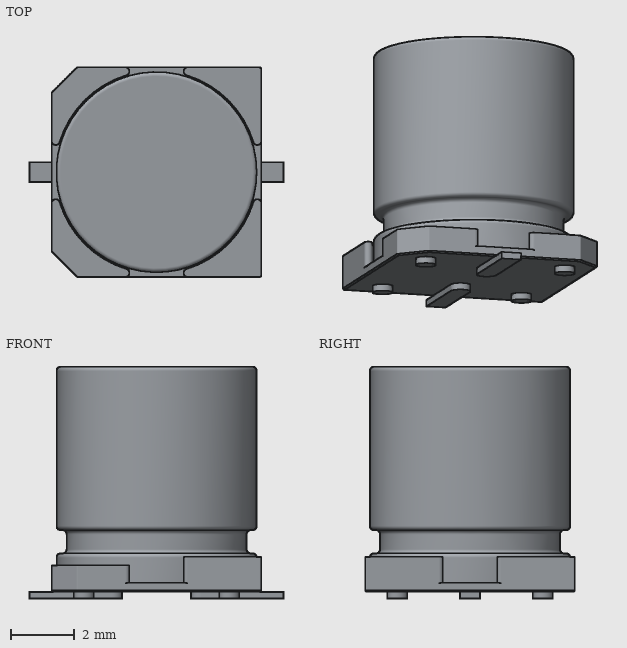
import cadquery as cq
import math

overall_length = 8.0
overall_height = 7.3
base_width = 6.6

can_diameter = 6.3
neck_diameter = 5.67
bead_radius = 0.13
groove_bottom_z = 1.42
groove_top_z = 2.15

base_bottom_z = 0.21
floor_z = 0.5
low_corner_z = 1.05
high_corner_z = 1.31
corner_chamfer = 0.8
seat_clearance = 0.04
nose_radius = 0.13
edge_chamfer = 0.05
edge_rounding = 0.03
corner_rounding = 0.06

terminal_width = 0.63
terminal_inner_x = 1.08
foot_diameter = 0.63
foot_offset = 2.29

can_radius = can_diameter / 2
neck_radius = neck_diameter / 2
half_base = base_width / 2
seat_radius = can_radius + seat_clearance


def make_base_plate():
    """Square plate under the can, with the two -X corners cut off."""
    plate = (
        cq.Workplane("XY", origin=(0, 0, base_bottom_z))
        .rect(base_width, base_width)
        .extrude(floor_z - base_bottom_z)
        .edges("|Z and <X")
        .chamfer(corner_chamfer)
        .edges("|Z")
        .fillet(corner_rounding)
    )
    return plate.faces("<Z").chamfer(edge_chamfer).faces(">Z").edges().fillet(edge_rounding)


def make_corner_block(x_sign, y_sign, top_z):
    """Corner block around the can; each end is a nose tangent to the outer side and to the can seat."""
    def place(x, y):
        return (x_sign * x, y_sign * y)

    centre_out = half_base - nose_radius
    centre_along = math.sqrt((seat_radius + nose_radius) ** 2 - centre_out ** 2)
    seat_ratio = seat_radius / (seat_radius + nose_radius)
    seat_out = centre_out * seat_ratio
    seat_along = centre_along * seat_ratio
    tip_along = centre_along - nose_radius
    seat_middle = seat_radius / math.sqrt(2)

    root_z = base_bottom_z + edge_chamfer
    outline = cq.Workplane("XY", origin=(0, 0, root_z)).moveTo(*place(centre_along, half_base))
    if x_sign < 0:
        outline = outline.lineTo(*place(half_base - corner_chamfer, half_base))
        outline = outline.lineTo(*place(half_base, half_base - corner_chamfer))
    else:
        outline = outline.lineTo(*place(half_base, half_base))
    block = (
        outline.lineTo(*place(half_base, centre_along))
        .threePointArc(place(centre_out, tip_along), place(seat_out, seat_along))
        .threePointArc(place(seat_middle, seat_middle), place(seat_along, seat_out))
        .threePointArc(place(tip_along, centre_out), place(centre_along, half_base))
        .close()
        .extrude(top_z - root_z)
    )
    corner_zone = cq.selectors.BoxSelector(
        place(seat_middle, seat_middle) + (0,),
        place(base_width, base_width) + (overall_height,),
    )
    block = block.edges("|Z").edges(corner_zone).fillet(corner_rounding)
    return block.faces(">Z").edges().fillet(edge_rounding)


def make_can():
    """Revolved can with rounded rims and a rounded groove above the base."""
    profile = (
        cq.Workplane("XZ")
        .moveTo(0, floor_z)
        .lineTo(can_radius, floor_z)
        .lineTo(can_radius, groove_bottom_z)
        .lineTo(neck_radius, groove_bottom_z)
        .lineTo(neck_radius, groove_top_z)
        .lineTo(can_radius, groove_top_z)
        .lineTo(can_radius, overall_height)
        .lineTo(0, overall_height)
        .close()
    )
    can = profile.revolve(360, (0, 0, 0), (0, 1, 0))
    rims = cq.selectors.BoxSelector(
        (-can_diameter, -can_diameter, floor_z + bead_radius),
        (can_diameter, can_diameter, overall_height + bead_radius),
    )
    return can.edges("%CIRCLE").edges(rims).fillet(bead_radius)


def make_terminal(x_sign):
    """Flat lead under the base, with a half-round inner end."""
    round_x = terminal_inner_x + terminal_width / 2
    strip_length = overall_length / 2 - round_x
    strip = (
        cq.Workplane("XY")
        .center(x_sign * (round_x + strip_length / 2), 0)
        .rect(strip_length, terminal_width)
        .extrude(base_bottom_z)
    )
    tip = (
        cq.Workplane("XY")
        .center(x_sign * round_x, 0)
        .circle(terminal_width / 2)
        .extrude(base_bottom_z)
    )
    return strip.union(tip)


def make_feet():
    """Four round feet under the corners of the base."""
    return (
        cq.Workplane("XY")
        .rect(2 * foot_offset, 2 * foot_offset, forConstruction=True)
        .vertices()
        .circle(foot_diameter / 2)
        .extrude(base_bottom_z)
    )


result = make_base_plate().union(make_can()).union(make_feet())
for x_sign, corner_top_z in ((-1, low_corner_z), (1, high_corner_z)):
    result = result.union(make_terminal(x_sign))
    for y_sign in (-1, 1):
        result = result.union(make_corner_block(x_sign, y_sign, corner_top_z))